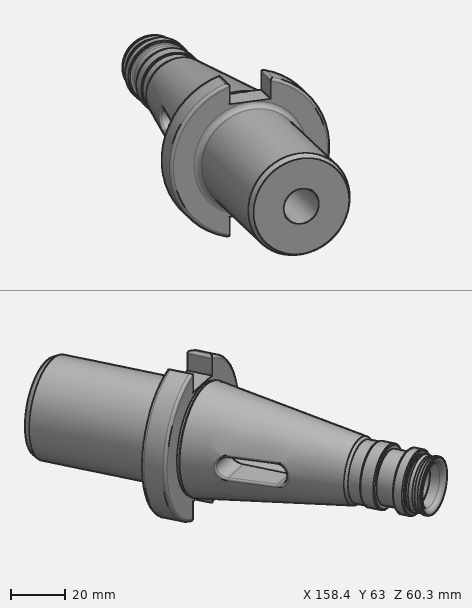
import cadquery as cq
import math

TOTAL_LENGTH = 158.4

GAUGE_DIAMETER = 44.45
GAUGE_X = 93.4
TAPER_PER_LENGTH = 7 / 24
TAPER_START_X = 30.7

NOSE_RADIUS = 11.2
NOSE_CHAMFER_LENGTH = 0.5
NOSE_CHAMFER_HEIGHT = 0.25
NOSE_GROOVE_START_X = 1.5
NOSE_GROOVE_END_X = 5.4
NOSE_GROOVE_FLOOR_WIDTH = 1.0
NOSE_GROOVE_DEPTH = 0.5

COLLAR_RADIUS = 12.6
COLLAR_CHAMFER = 0.5
FRONT_COLLAR_START_X = 6.75
FRONT_COLLAR_END_X = 11.2
NECK_RADIUS = 10.7
NECK_FILLET = 0.5
REAR_COLLAR_START_X = 18.5
REAR_COLLAR_END_X = 24.6
LAND_RADIUS = 12.15
LAND_END_X = 29.5

FLANGE_RADIUS = 31.5
FLANGE_START_X = 94.75
FLANGE_END_X = 104.85
FLANGE_FILLET = 1.2
RELIEF_DEPTH = 0.4

KEY_SLOT_WIDTH = 16.1
KEY_SLOT_FLOOR_Z = 22.2
KEY_SLOT_FILLET = 1.0

SHANK_RADIUS = 20.0
SHANK_FILLET = 2.2
SHANK_END_CHAMFER_LENGTH = 2.4
SHANK_END_CHAMFER_HEIGHT = 1.2

BORE_RADIUS = 6.9
MOUTH_RADIUS = 8.5
MOUTH_FILLET = 2.0
MOUTH_GROOVE_START_X = 6.0
MOUTH_GROOVE_END_X = 8.0
MOUTH_GROOVE_DEPTH = 0.3
BORE_STEP_RADIUS = 7.4
BORE_STEP_LENGTH = 0.5

TANG_SLOT_START_X = 52.7
TANG_SLOT_LENGTH = 27.0
TANG_SLOT_WIDTH = 8.3
TANG_SLOT_FILLET = 0.8
TANG_SLOT_MARGIN = 1.0


def taper_radius(x):
    return (GAUGE_DIAMETER - TAPER_PER_LENGTH * (GAUGE_X - x)) / 2


def arc_middle_offset(radius):
    """Distance from a tangent line of a quarter-round fillet to the middle of its arc."""
    return radius * (1 - math.sqrt(0.5))


def make_body():
    groove_slope = (NOSE_GROOVE_END_X - NOSE_GROOVE_START_X - NOSE_GROOVE_FLOOR_WIDTH) / 2
    groove_radius = NOSE_RADIUS - NOSE_GROOVE_DEPTH
    gauge_radius = taper_radius(GAUGE_X)
    shank_fillet_end_x = FLANGE_END_X + SHANK_FILLET
    neck_arc_offset = arc_middle_offset(NECK_FILLET)
    flange_arc_offset = arc_middle_offset(FLANGE_FILLET)
    shank_arc_offset = arc_middle_offset(SHANK_FILLET)
    profile = (
        cq.Workplane("XZ")
        .moveTo(0, 0)
        .lineTo(0, NOSE_RADIUS - NOSE_CHAMFER_HEIGHT)
        .lineTo(NOSE_CHAMFER_LENGTH, NOSE_RADIUS)
        .lineTo(NOSE_GROOVE_START_X, NOSE_RADIUS)
        .lineTo(NOSE_GROOVE_START_X + groove_slope, groove_radius)
        .lineTo(NOSE_GROOVE_END_X - groove_slope, groove_radius)
        .lineTo(NOSE_GROOVE_END_X, NOSE_RADIUS)
        .lineTo(FRONT_COLLAR_START_X - NOSE_CHAMFER_LENGTH, NOSE_RADIUS)
        .lineTo(FRONT_COLLAR_START_X, NOSE_RADIUS - NOSE_CHAMFER_HEIGHT)
        .lineTo(FRONT_COLLAR_START_X, COLLAR_RADIUS - COLLAR_CHAMFER)
        .lineTo(FRONT_COLLAR_START_X + COLLAR_CHAMFER, COLLAR_RADIUS)
        .lineTo(FRONT_COLLAR_END_X - COLLAR_CHAMFER, COLLAR_RADIUS)
        .lineTo(FRONT_COLLAR_END_X, COLLAR_RADIUS - COLLAR_CHAMFER)
        .lineTo(FRONT_COLLAR_END_X, NECK_RADIUS + NECK_FILLET)
        .threePointArc(
            (FRONT_COLLAR_END_X + neck_arc_offset, NECK_RADIUS + neck_arc_offset),
            (FRONT_COLLAR_END_X + NECK_FILLET, NECK_RADIUS),
        )
        .lineTo(REAR_COLLAR_START_X, NECK_RADIUS)
        .lineTo(REAR_COLLAR_START_X, COLLAR_RADIUS - COLLAR_CHAMFER)
        .lineTo(REAR_COLLAR_START_X + COLLAR_CHAMFER, COLLAR_RADIUS)
        .lineTo(REAR_COLLAR_END_X - COLLAR_CHAMFER, COLLAR_RADIUS)
        .lineTo(REAR_COLLAR_END_X, LAND_RADIUS)
        .lineTo(LAND_END_X, LAND_RADIUS)
        .lineTo(TAPER_START_X, taper_radius(TAPER_START_X))
        .lineTo(GAUGE_X, gauge_radius)
        .lineTo(GAUGE_X + RELIEF_DEPTH, gauge_radius - RELIEF_DEPTH)
        .lineTo(FLANGE_START_X, gauge_radius - RELIEF_DEPTH)
        .lineTo(FLANGE_START_X, FLANGE_RADIUS - FLANGE_FILLET)
        .threePointArc(
            (FLANGE_START_X + flange_arc_offset, FLANGE_RADIUS - flange_arc_offset),
            (FLANGE_START_X + FLANGE_FILLET, FLANGE_RADIUS),
        )
        .lineTo(FLANGE_END_X - FLANGE_FILLET, FLANGE_RADIUS)
        .threePointArc(
            (FLANGE_END_X - flange_arc_offset, FLANGE_RADIUS - flange_arc_offset),
            (FLANGE_END_X, FLANGE_RADIUS - FLANGE_FILLET),
        )
        .lineTo(FLANGE_END_X, SHANK_RADIUS + SHANK_FILLET)
        .threePointArc(
            (FLANGE_END_X + shank_arc_offset, SHANK_RADIUS + shank_arc_offset),
            (shank_fillet_end_x, SHANK_RADIUS),
        )
        .lineTo(TOTAL_LENGTH - SHANK_END_CHAMFER_LENGTH, SHANK_RADIUS)
        .lineTo(TOTAL_LENGTH, SHANK_RADIUS - SHANK_END_CHAMFER_HEIGHT)
        .lineTo(TOTAL_LENGTH, 0)
        .close()
    )
    return profile.revolve(360, (0, 0, 0), (1, 0, 0))


def make_bore():
    arc_offset = arc_middle_offset(MOUTH_FILLET)
    step_start_x = MOUTH_GROOVE_END_X + MOUTH_RADIUS - BORE_STEP_RADIUS
    step_end_x = step_start_x + BORE_STEP_LENGTH
    profile = (
        cq.Workplane("XZ")
        .lineTo(0, MOUTH_RADIUS + MOUTH_FILLET)
        .threePointArc(
            (arc_offset, MOUTH_RADIUS + arc_offset),
            (MOUTH_FILLET, MOUTH_RADIUS),
        )
        .lineTo(MOUTH_GROOVE_START_X, MOUTH_RADIUS)
        .lineTo(MOUTH_GROOVE_START_X, MOUTH_RADIUS + MOUTH_GROOVE_DEPTH)
        .lineTo(MOUTH_GROOVE_END_X, MOUTH_RADIUS + MOUTH_GROOVE_DEPTH)
        .lineTo(MOUTH_GROOVE_END_X, MOUTH_RADIUS)
        .lineTo(step_start_x, BORE_STEP_RADIUS)
        .lineTo(step_end_x, BORE_STEP_RADIUS)
        .lineTo(step_end_x, BORE_RADIUS)
        .lineTo(TOTAL_LENGTH, BORE_RADIUS)
        .lineTo(TOTAL_LENGTH, 0)
        .close()
    )
    return profile.revolve(360, (0, 0, 0), (1, 0, 0))


def cut_key_slots(body):
    flange_width = FLANGE_END_X - FLANGE_START_X
    half_width = KEY_SLOT_WIDTH / 2
    fillet_center_y = half_width + KEY_SLOT_FILLET
    fillet_center_z = math.sqrt((FLANGE_RADIUS - KEY_SLOT_FILLET) ** 2 - fillet_center_y**2)
    rim_ratio = FLANGE_RADIUS / (FLANGE_RADIUS - KEY_SLOT_FILLET)
    rim_y = fillet_center_y * rim_ratio
    rim_z = fillet_center_z * rim_ratio
    middle_angle = (math.pi + math.atan2(fillet_center_z, fillet_center_y)) / 2
    middle_y = fillet_center_y + KEY_SLOT_FILLET * math.cos(middle_angle)
    middle_z = fillet_center_z + KEY_SLOT_FILLET * math.sin(middle_angle)
    slot = (
        cq.Workplane("YZ", origin=(FLANGE_START_X, 0, 0))
        .moveTo(-half_width, KEY_SLOT_FLOOR_Z)
        .lineTo(half_width, KEY_SLOT_FLOOR_Z)
        .lineTo(half_width, fillet_center_z)
        .threePointArc((middle_y, middle_z), (rim_y, rim_z))
        .lineTo(rim_y, FLANGE_RADIUS)
        .lineTo(-rim_y, FLANGE_RADIUS)
        .lineTo(-rim_y, rim_z)
        .threePointArc((-middle_y, middle_z), (-half_width, fillet_center_z))
        .close()
        .extrude(flange_width)
    )
    opposite_slot = slot.mirror("XY")
    return body.cut(slot).cut(opposite_slot)


def cut_tang_slot(body):
    slot_middle_x = TANG_SLOT_START_X + TANG_SLOT_LENGTH / 2
    slot_end_x = TANG_SLOT_START_X + TANG_SLOT_LENGTH
    slot = (
        cq.Workplane("XZ", origin=(slot_middle_x, 0, 0))
        .slot2D(TANG_SLOT_LENGTH, TANG_SLOT_WIDTH)
        .extrude(GAUGE_DIAMETER / 2, both=True)
    )
    slot_region = cq.selectors.BoxSelector(
        (TANG_SLOT_START_X - TANG_SLOT_MARGIN, -GAUGE_DIAMETER, -TANG_SLOT_WIDTH),
        (slot_end_x + TANG_SLOT_MARGIN, GAUGE_DIAMETER, TANG_SLOT_WIDTH),
    )
    return body.cut(slot).edges(slot_region).edges("not |Y").fillet(TANG_SLOT_FILLET)


result = cut_tang_slot(cut_key_slots(make_body())).cut(make_bore())